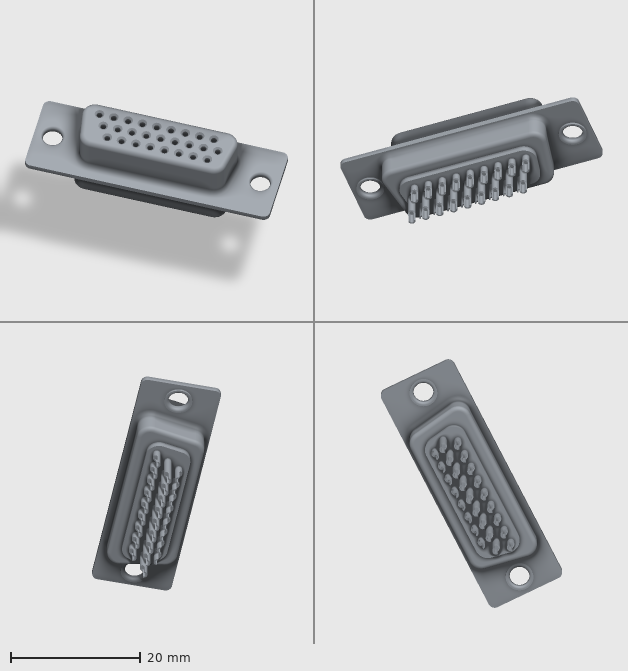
import cadquery as cq
import math

OVERALL_HEIGHT = 16.95

FLANGE_LENGTH = 39.15
FLANGE_WIDTH = 12.55
FLANGE_THICKNESS = 0.85
FLANGE_CORNER_RADIUS = 1.0

MOUNT_X = 16.65
MOUNT_HOLE_DIAMETER = 3.05
MOUNT_LIP_RADIUS = 0.45
COLLAR_DIAMETER = 4.3
COLLAR_HEIGHT = 0.35

D_SLANT = 10.0
D_CORNER_RADIUS = 2.0
PLUG_WIDTH = 24.1
PLUG_DEPTH = 7.9
PLUG_HEIGHT = 5.8
PLUG_EDGE_RADIUS = 0.75
SHELL_WIDTH = 25.65
SHELL_DEPTH = 10.75
SHELL_BOTTOM = -4.9
SHELL_EDGE_RADIUS = 0.65
INSULATOR_WIDTH = 21.85
INSULATOR_DEPTH = 7.0
INSULATOR_BOTTOM = -5.9

CONTACT_PITCH = 2.29
ROW_PITCH = 1.95
PATTERN_SHIFT = 0.08
BACK_ROW = (ROW_PITCH, PATTERN_SHIFT - 4.25 * CONTACT_PITCH, 9)
MIDDLE_ROW = (0.0, PATTERN_SHIFT - 3.75 * CONTACT_PITCH, 9)
FRONT_ROW = (-ROW_PITCH, PATTERN_SHIFT - 3.25 * CONTACT_PITCH, 8)

SOCKET_DIAMETER = 0.9
SOCKET_MOUTH_DIAMETER = 1.5
SOCKET_MOUTH_ANGLE = 90.0
SOCKET_DEPTH = 3.9

CUP_DIAMETER = 1.17
CUP_BORE_DIAMETER = 0.7
CUP_OPENING_HEIGHT = 1.8
SHORT_CUP_BOTTOM = -8.9
LONG_CUP_BOTTOM = PLUG_HEIGHT - OVERALL_HEIGHT

OVERLAP = 0.4
SELECTION_MARGIN = 0.05


def d_prism(width, depth, z_bottom, z_top):
    """Rounded trapezoid prism, wider on the +Y side."""
    slant_run = depth / 2 * math.tan(math.radians(D_SLANT))
    back = width / 2 + slant_run
    front = width / 2 - slant_run
    outline = [(-front, -depth / 2), (front, -depth / 2), (back, depth / 2), (-back, depth / 2)]
    prism = cq.Workplane("XY").workplane(offset=z_bottom).polyline(outline).close().extrude(z_top - z_bottom)
    return prism.edges("|Z").fillet(D_CORNER_RADIUS)


def foot_edges(width, depth, z):
    """Selector for the outline edges of a D-shaped body at height z, inside the flange outline."""
    reach_x = width / 2 + D_CORNER_RADIUS
    reach_y = depth / 2 + SELECTION_MARGIN
    return cq.selectors.BoxSelector(
        (-reach_x, -reach_y, z - SELECTION_MARGIN), (reach_x, reach_y, z + SELECTION_MARGIN), boundingbox=True
    )


def row_points(row):
    y, first_x, count = row
    return [(first_x + i * CONTACT_PITCH, y) for i in range(count)]


def solder_cup(bottom, open_side):
    """Hollow-ended pin on the Z axis, cut open toward open_side (+1 or -1 along Y)."""
    radius = CUP_DIAMETER / 2
    opening_top = bottom + CUP_OPENING_HEIGHT
    top = INSULATOR_BOTTOM + OVERLAP
    pin = cq.Workplane("XY").workplane(offset=bottom).circle(radius).extrude(top - bottom)
    bore = cq.Workplane("XY").workplane(offset=bottom).circle(CUP_BORE_DIAMETER / 2).extrude(CUP_OPENING_HEIGHT)
    arc_end = open_side * radius
    arc_inset = radius * (1 - math.sqrt(0.5))
    arc_middle = (open_side * arc_inset, opening_top - arc_inset)
    opening = (
        cq.Workplane("YZ", origin=(-radius, 0, 0))
        .moveTo(0, bottom)
        .lineTo(0, opening_top - radius)
        .threePointArc(arc_middle, (arc_end, opening_top))
        .lineTo(arc_end, bottom)
        .close()
        .extrude(CUP_DIAMETER)
    )
    return pin.cut(bore).cut(opening)


flange = (
    cq.Workplane("XY")
    .workplane(offset=-FLANGE_THICKNESS)
    .rect(FLANGE_LENGTH, FLANGE_WIDTH)
    .extrude(FLANGE_THICKNESS)
    .edges("|Z")
    .fillet(FLANGE_CORNER_RADIUS)
)
plug = d_prism(PLUG_WIDTH, PLUG_DEPTH, -OVERLAP, PLUG_HEIGHT)
plug = plug.faces(">Z").edges().fillet(PLUG_EDGE_RADIUS)
shell = d_prism(SHELL_WIDTH, SHELL_DEPTH, SHELL_BOTTOM, -OVERLAP)
shell = shell.faces("<Z").edges().fillet(SHELL_EDGE_RADIUS)
body = flange.union(plug).union(shell)

body = body.edges(foot_edges(PLUG_WIDTH, PLUG_DEPTH, 0)).fillet(PLUG_EDGE_RADIUS)
body = body.edges(foot_edges(SHELL_WIDTH, SHELL_DEPTH, -FLANGE_THICKNESS)).fillet(SHELL_EDGE_RADIUS)

body = body.union(d_prism(INSULATOR_WIDTH, INSULATOR_DEPTH, INSULATOR_BOTTOM, SHELL_BOTTOM + OVERLAP))

collar_bottom = -FLANGE_THICKNESS - COLLAR_HEIGHT
mount_points = [(-MOUNT_X, 0), (MOUNT_X, 0)]
collars = (
    cq.Workplane("XY")
    .workplane(offset=collar_bottom)
    .pushPoints(mount_points)
    .circle(COLLAR_DIAMETER / 2)
    .extrude(COLLAR_HEIGHT + OVERLAP)
)
body = body.union(collars)
throat_radius = MOUNT_HOLE_DIAMETER / 2
mouth_radius = throat_radius + MOUNT_LIP_RADIUS
lip_inset = MOUNT_LIP_RADIUS * (1 - math.sqrt(0.5))
mount_hole = (
    cq.Workplane("XZ")
    .moveTo(0, collar_bottom)
    .lineTo(mouth_radius, collar_bottom)
    .threePointArc(
        (throat_radius + lip_inset, collar_bottom + lip_inset), (throat_radius, collar_bottom + MOUNT_LIP_RADIUS)
    )
    .lineTo(throat_radius, -MOUNT_LIP_RADIUS)
    .threePointArc((throat_radius + lip_inset, -lip_inset), (mouth_radius, 0))
    .lineTo(0, 0)
    .close()
    .revolve(360, (0, 0), (0, 1))
)
for x, y in mount_points:
    body = body.cut(mount_hole.translate((x, y, 0)))

socket_points = row_points(BACK_ROW) + row_points(MIDDLE_ROW) + row_points(FRONT_ROW)
body = (
    body.faces(">Z")
    .workplane(origin=(0, 0, PLUG_HEIGHT))
    .pushPoints(socket_points)
    .cskHole(SOCKET_DIAMETER, SOCKET_MOUTH_DIAMETER, SOCKET_MOUTH_ANGLE, SOCKET_DEPTH)
)

for row, bottom, open_side in (
    (BACK_ROW, SHORT_CUP_BOTTOM, 1),
    (MIDDLE_ROW, LONG_CUP_BOTTOM, 1),
    (FRONT_ROW, SHORT_CUP_BOTTOM, -1),
):
    cup = solder_cup(bottom, open_side)
    for x, y in row_points(row):
        body = body.union(cup.translate((x, y, 0)))

result = body